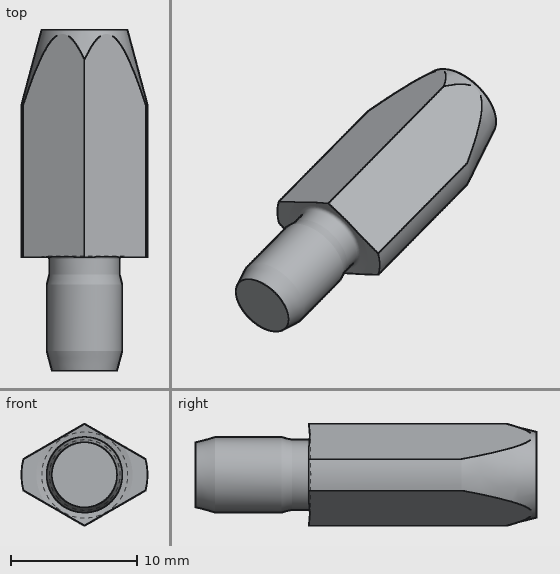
import cadquery as cq
import math

total_length = 27.0
stud_length = 9.0
body_length = total_length - stud_length

body_diameter = 10.0
across_flats = 7.0
flat_angle = math.radians(30)
nose_length = 5.95
taper_angle = math.radians(15)
nose_tip_diameter = body_diameter - 2 * nose_length * math.tan(taper_angle)

recess_diameter = 7.61
recess_depth = 0.15

neck_diameter = 5.6
neck_length = 1.35
neck_flare_length = 0.8
stud_diameter = 6.0
lead_in_length = 1.57
stud_tip_diameter = stud_diameter - 2 * lead_in_length * math.tan(taper_angle)
root_fillet_radius = 0.25


def revolve_about_y(points):
    """Revolve a closed (radius, y) outline about the Y axis."""
    return cq.Workplane("XY").polyline(points).close().revolve(360, (0, 0, 0), (0, 1, 0))


def make_body():
    envelope = revolve_about_y([
        (0, 0),
        (body_diameter / 2, 0),
        (body_diameter / 2, body_length - nose_length),
        (nose_tip_diameter / 2, body_length),
        (0, body_length),
    ])
    half_height = across_flats / 2 / math.cos(flat_angle)
    half_width = across_flats / 2 / math.sin(flat_angle)
    rhombic_bar = (
        cq.Workplane("XZ")
        .polyline([(half_width, 0), (0, half_height), (-half_width, 0), (0, -half_height)])
        .close()
        .extrude(-body_length)
    )
    return envelope.intersect(rhombic_bar)


def make_recess():
    return revolve_about_y([
        (0, 0),
        (recess_diameter / 2, 0),
        (neck_diameter / 2, recess_depth),
        (0, recess_depth),
    ])


def make_stud():
    return revolve_about_y([
        (0, recess_depth),
        (neck_diameter / 2, recess_depth),
        (neck_diameter / 2, -neck_length),
        (stud_diameter / 2, -neck_length - neck_flare_length),
        (stud_diameter / 2, -stud_length + lead_in_length),
        (stud_tip_diameter / 2, -stud_length),
        (0, -stud_length),
    ])


part = make_body().cut(make_recess()).union(make_stud())

root_edge = part.edges("%CIRCLE").edges(cq.selectors.BoxSelector(
    (-neck_diameter, recess_depth / 2, -neck_diameter),
    (neck_diameter, recess_depth * 2, neck_diameter),
))
result = root_edge.fillet(root_fillet_radius)